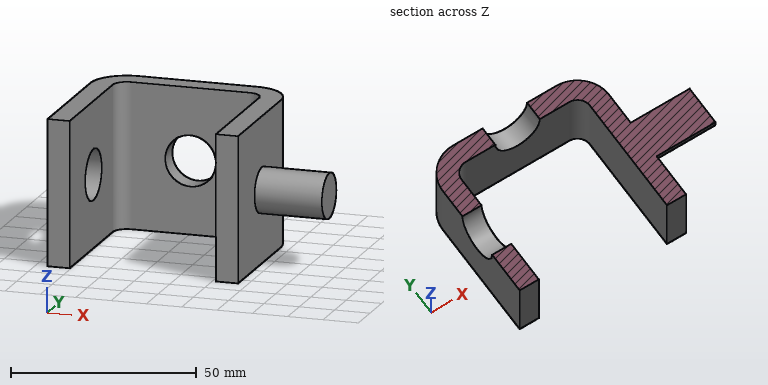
import cadquery as cq

total_length = 73.0
bracket_width = 54.0
bracket_depth = 47.6
bracket_height = 41.25

plate_thickness = 6.3
inner_bend_radius = 4.0
outer_bend_radius = inner_bend_radius + plate_thickness

hole_diameter = 14.3
pin_diameter = 12.7
pin_length = total_length - bracket_width
pin_axis_from_back = 27.0

center_x = bracket_width / 2
center_z = bracket_height / 2
pin_axis_y = -pin_axis_from_back


def rounded_block(width, depth, bend_radius):
    """Block with its back face at Y = 0 and its two rear vertical edges rounded."""
    block = cq.Workplane("XY").box(width, depth, bracket_height, centered=(True, False, False))
    block = block.translate((center_x, -depth, 0))
    return block.edges("|Z and >Y").fillet(bend_radius)


def bent_plate():
    outside = rounded_block(bracket_width, bracket_depth, outer_bend_radius)
    inside = rounded_block(
        bracket_width - 2 * plate_thickness,
        bracket_depth,
        inner_bend_radius,
    ).translate((0, -plate_thickness, 0))
    return outside.cut(inside)


def cylinder(diameter, length, start, direction):
    return cq.Workplane(cq.Solid.makeCylinder(diameter / 2, length, cq.Vector(*start), cq.Vector(*direction)))


back_hole = cylinder(hole_diameter, plate_thickness, (center_x, 0, center_z), (0, -1, 0))
side_hole = cylinder(hole_diameter, plate_thickness, (0, pin_axis_y, center_z), (1, 0, 0))

pin = cylinder(pin_diameter, pin_length, (bracket_width, pin_axis_y, center_z), (1, 0, 0))

result = bent_plate().cut(back_hole).cut(side_hole).union(pin)